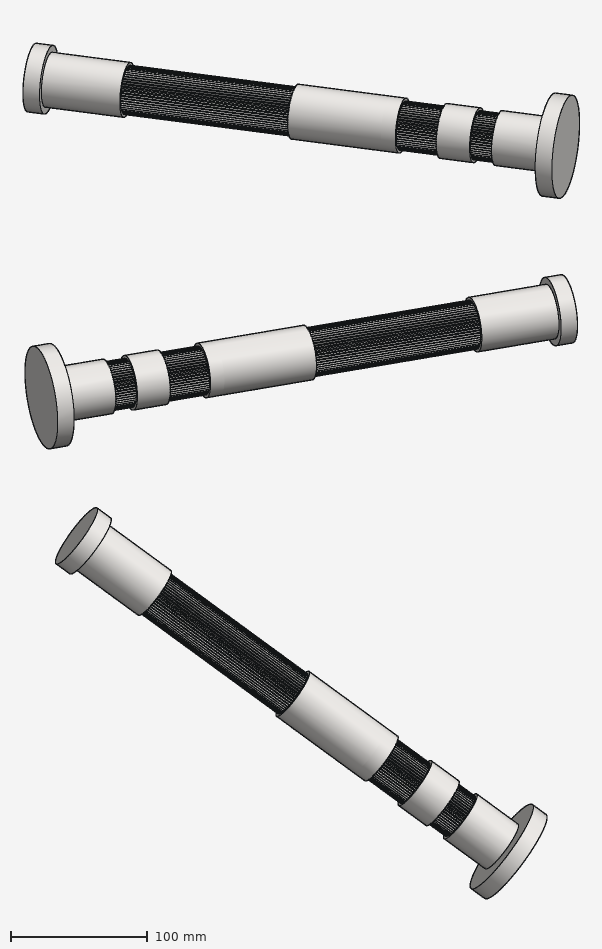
import cadquery as cq
import math


total_length = 404.61
disc_thickness = 12.7
cap_radius = 25.4
flange_radius = 38.1
flange_start = total_length - disc_thickness

collar_radius = 20.32
cap_collar_end = 72.1
long_collar_start = 199.3
long_collar_joint = 270.2
long_collar_end = 281.0
short_collar_start = 311.9
short_collar_length = 25.4
flange_collar_length = 38.1

shaft_radius = 18.2
tooth_count = 56
tooth_depth = 0.84
tooth_tip_width = 0.2
first_tooth_angle = 4.8


def cylinder(start, end, radius):
    """Solid cylinder on the X axis between two X positions."""
    return cq.Workplane("YZ", origin=(start, 0, 0)).circle(radius).extrude(end - start)


def polar(radius, angle):
    """Point in the YZ section plane, angle in radians from +Y towards +Z."""
    return (radius * math.cos(angle), radius * math.sin(angle))


def serrated_shaft(start, end):
    """Shaft whose teeth have narrow flat tips and meet in V-shaped roots."""
    pitch = 2 * math.pi / tooth_count
    half_tip = tooth_tip_width / shaft_radius / 2
    root_radius = shaft_radius - tooth_depth
    outline = []
    for tooth in range(tooth_count):
        centre = math.radians(first_tooth_angle) + tooth * pitch
        outline.append(polar(shaft_radius, centre - half_tip))
        outline.append(polar(shaft_radius, centre + half_tip))
        outline.append(polar(root_radius, centre + pitch / 2))
    return cq.Workplane("YZ", origin=(start, 0, 0)).polyline(outline).close().extrude(end - start)


plain_lengths = (
    (0, disc_thickness, cap_radius),
    (disc_thickness, cap_collar_end, collar_radius),
    (long_collar_start, long_collar_joint, collar_radius),
    (long_collar_joint, long_collar_end, collar_radius),
    (short_collar_start, short_collar_start + short_collar_length, collar_radius),
    (flange_start - flange_collar_length, flange_start, collar_radius),
    (flange_start, total_length, flange_radius),
)

result = serrated_shaft(disc_thickness, flange_start)
for start, end, radius in plain_lengths:
    result = result.union(cylinder(start, end, radius), clean=False)